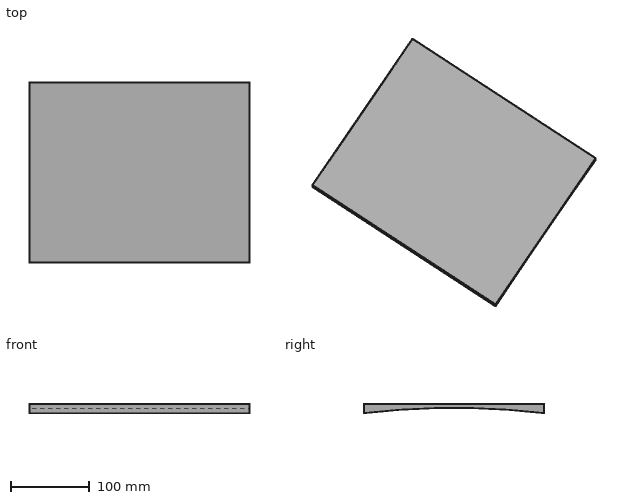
import cadquery as cq

length = 279.5
width = 228.5
edge_thickness = 12.0
middle_thickness = 5.3

half_width = width / 2
hollow_height = edge_thickness - middle_thickness

profile = (
    cq.Workplane("YZ")
    .moveTo(-half_width, 0)
    .threePointArc((0, hollow_height), (half_width, 0))
    .lineTo(half_width, edge_thickness)
    .lineTo(-half_width, edge_thickness)
    .close()
)

result = profile.extrude(length / 2, both=True)